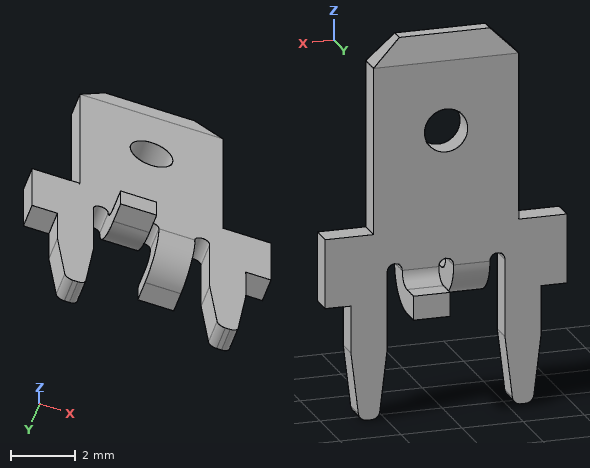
import cadquery as cq
import math

height = 12.45
thickness = 0.8

blade_width = 4.75
tip_width = 2.96
tip_thickness = 0.47
tip_length = 0.87
hole_diameter = 1.41
hole_height = 9.28

shoulder_width = 7.92
shoulder_top = 6.1
shoulder_bottom = 3.82

tab_width = 1.2
slot_width = 0.49
bend_start = 4.82
bend_inner_radius = 0.47
tab_span = 3.08

leg_width = 1.2
leg_end_width = 0.65
leg_taper_start = 2.28
leg_tip_radius = 0.27

slot_pitch = tab_width + slot_width
leg_inner = slot_pitch + slot_width / 2
leg_center = leg_inner + leg_width / 2
tip_base = height - tip_length


def box_between(width, bottom, top):
    """Plate-thick block centered on X = 0 between two heights."""
    return (
        cq.Workplane("XY")
        .box(width, thickness, top - bottom, centered=(True, True, False))
        .translate((0, 0, bottom))
    )


def make_blade_tip():
    """Wedge narrowing in both width and thickness."""
    return (
        cq.Workplane("XY")
        .workplane(offset=tip_base)
        .rect(blade_width, thickness)
        .workplane(offset=tip_length)
        .rect(tip_width, tip_thickness)
        .loft(ruled=True)
    )


def make_leg(center_x):
    """Straight leg that tapers to a rounded end."""
    half_width = leg_width / 2
    half_end = leg_end_width / 2
    return (
        cq.Workplane("XZ", origin=(0, thickness / 2, 0))
        .polyline([
            (center_x - half_width, bend_start),
            (center_x - half_width, leg_taper_start),
            (center_x - half_end, 0),
            (center_x + half_end, 0),
            (center_x + half_width, leg_taper_start),
            (center_x + half_width, bend_start),
        ])
        .close()
        .extrude(thickness)
        .edges("<Z and |Y")
        .fillet(leg_tip_radius)
    )


def make_slot_top(center_x):
    """Cutter for the rounded upper end of a slot."""
    return (
        cq.Workplane("XZ", origin=(center_x, thickness / 2, bend_start))
        .circle(slot_width / 2)
        .extrude(thickness)
    )


def make_tab(center_x, side):
    """Tab bent a quarter turn; side is the sign of its Y direction."""
    outer_radius = bend_inner_radius + thickness
    bend_y = thickness / 2 + bend_inner_radius
    diagonal = math.sqrt(0.5)

    def point(y, z):
        return (side * y, z)

    def mid_bend(radius):
        return point(bend_y - radius * diagonal, bend_start - radius * diagonal)

    upper_face = bend_start - bend_inner_radius
    lower_face = bend_start - outer_radius
    return (
        cq.Workplane("YZ", origin=(center_x - tab_width / 2, 0, 0))
        .moveTo(*point(thickness / 2, bend_start))
        .threePointArc(mid_bend(bend_inner_radius), point(bend_y, upper_face))
        .lineTo(*point(tab_span / 2, upper_face))
        .lineTo(*point(tab_span / 2, lower_face))
        .lineTo(*point(bend_y, lower_face))
        .threePointArc(mid_bend(outer_radius), point(-thickness / 2, bend_start))
        .close()
        .extrude(tab_width)
    )


result = box_between(blade_width, shoulder_top, tip_base)
result = result.union(make_blade_tip())
result = result.union(box_between(shoulder_width, shoulder_bottom, shoulder_top))

result = result.cut(box_between(2 * leg_inner, shoulder_bottom, bend_start))
for slot_x in (-slot_pitch, 0, slot_pitch):
    result = result.cut(make_slot_top(slot_x))

for side in (-1, 1):
    result = result.union(make_leg(side * leg_center))
    result = result.union(make_tab(side * slot_pitch / 2, side))

hole = (
    cq.Workplane("XZ", origin=(0, thickness / 2, hole_height))
    .circle(hole_diameter / 2)
    .extrude(thickness)
)
result = result.cut(hole)